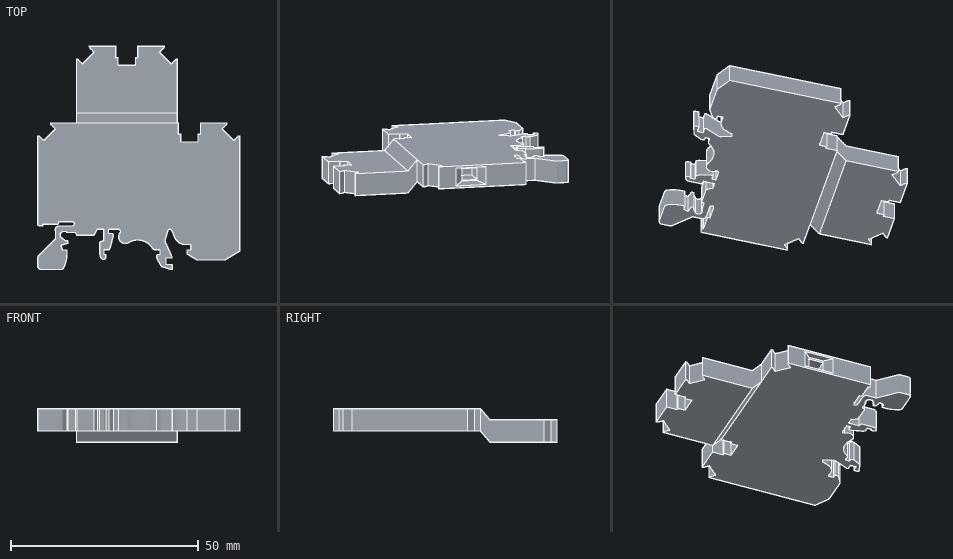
import cadquery as cq
import math

WIDTH = 54.0
HEIGHT = 59.7
THICKNESS = 6.0
TIER_STEP = 3.0
SHOULDER_Y = 39.2
RAMP_LENGTH = 2.55

TIER_LEFT = 10.3
TIER_WIDTH = 27.0
TIER_RIGHT = TIER_LEFT + TIER_WIDTH

NOTCH_SIDE = 3.45
NOTCH_LIP = 0.35
NOTCH_ROUND = 0.6
NOTCH_DEPTH = 1.25

SLOT_WIDTH = 5.85
SLOT_DEPTH = 3.05
SLOT_BOTTOM_WIDTH = 4.6
SLOT_BOTTOM_DEPTH = 5.1
MAIN_SLOT_X = 40.55

SEAT_Y = 5.25
LIP_Y = 4.05
RELIEF_Y = 10.75
HEEL_Y = 2.55
HINGE_SLOT_Y = 11.7
HINGE_SLOT_GAP = 1.1

NECK_RADIUS = 2.1 / 2
FOOT_RADIUS = 1.0
FOOT_FLANK_RADIUS = 8.95
LOBE_RADIUS = 1.75
ARCH_RADIUS = 4.65
TOE_RADIUS = 1.0
ARCH_CENTER = (26.75, 3.2)

FUNNEL_LOW_Y = 22.8
FUNNEL_HIGH_Y = 31.0
FUNNEL_MARGIN = 0.6
FUNNEL_DEPTH = 1.9
FUNNEL_TAPER = 2.0
FUNNEL_RISE = 0.85
THROAT_DEPTH = 5.95
THROAT_SILL = 0.25
THROAT_HEADER = 0.6


def on_circle(center, radius, degrees):
    """Point on a circle at an angle measured from +X."""
    angle = math.radians(degrees)
    return (center[0] + radius * math.cos(angle), center[1] + radius * math.sin(angle))


def trace(path, start, corners):
    """Draw lines from start through (x, y) corners; (x, y, radius) corners are rounded."""
    before = cq.Vector(*start)
    for index, corner in enumerate(corners):
        point = cq.Vector(*corner[:2])
        if len(corner) == 2:
            path = path.lineTo(point.x, point.y)
        else:
            after = cq.Vector(*corners[index + 1][:2])
            back = (before - point).normalized()
            ahead = (after - point).normalized()
            half_angle = back.getAngle(ahead) / 2
            radius = corner[2]
            setback = radius / math.tan(half_angle)
            to_middle = radius / math.sin(half_angle) - radius
            arc_start = point + back * setback
            arc_middle = point + (back + ahead).normalized() * to_middle
            arc_end = point + ahead * setback
            path = path.lineTo(arc_start.x, arc_start.y)
            path = path.threePointArc(arc_middle.toTuple()[:2], arc_end.toTuple()[:2])
        before = point
    return path


def trace_latch(path, start):
    """Slot above the latch, its curved neck, its foot and claw, and the hollow above the claw."""
    slot_top = HINGE_SLOT_Y + HINGE_SLOT_GAP
    slot_end = 9.25
    path = trace(path, start, [
        (0, HINGE_SLOT_Y, 0.5),
        (1.45, HINGE_SLOT_Y),
        (1.45, 12.1),
        (5.6, 12.1, 0.3),
        (5.6, slot_top),
        (slot_end, slot_top),
    ])
    slot_radius = HINGE_SLOT_GAP / 2
    path = path.threePointArc((slot_end + slot_radius, slot_top - slot_radius), (slot_end, HINGE_SLOT_Y))

    neck_x = 4.7
    neck_center = (5.75, HINGE_SLOT_Y - NECK_RADIUS)
    neck_drop = math.sqrt(NECK_RADIUS**2 - (neck_center[0] - neck_x) ** 2)
    neck_end = (neck_x, neck_center[1] - neck_drop)
    path = path.lineTo(neck_center[0], HINGE_SLOT_Y)
    path = path.threePointArc(on_circle(neck_center, NECK_RADIUS, 180), neck_end)

    flank_bottom = 3.5
    foot_right = 7.9
    path = trace(path, neck_end, [
        (neck_x, flank_bottom + neck_x),
        (0, flank_bottom, 0.7),
        (0, 0, FOOT_RADIUS),
        (6.8, 0, FOOT_RADIUS),
        (foot_right, 2.5, FOOT_FLANK_RADIUS),
        (foot_right, SEAT_Y, 0.25),
        (6.7, SEAT_Y),
        (6.25, 6.5),
        (8.05, 7.0, 0.1),
        (8.05, 7.75, 0.1),
        (7.45, 7.75),
        (6.25, 8.65),
    ])
    hollow_end = (7.15, 10.15)
    return path.threePointArc((6.2, 9.75), hollow_end), hollow_end


def trace_center_foot(path, start):
    """Underside from the latch to the small center foot, up to the relief pocket on its right."""
    return trace(path, start, [
        (7.7, 10.15),
        (7.7, 9.9),
        (10.1, 9.9),
        (10.5, 9.15),
        (15.05, 9.15),
        (15.95, RELIEF_Y),
        (17.6, RELIEF_Y),
        (17.6, 7.75),
        (16.6, 7.4, 0.25),
        (16.6, 2.9, 1.45),
        (17.9, 2.6, 0.1),
        (18.2, 3.15, 0.1),
        (18.2, LIP_Y),
        (17.8, LIP_Y),
        (17.8, SEAT_Y),
        (19.1, SEAT_Y),
        (19.45, 5.95),
        (20.4, 9.7, 0.5),
        (19.0, 9.7),
        (19.0, RELIEF_Y),
        (22.1, RELIEF_Y, 0.5),
        (22.1, 9.95),
        (21.85, 9.7),
    ])


def trace_arch(path):
    """Rounded lobe, the wide arch over the rail and the small round toe, each tangent to the next."""
    lobe_angle = 121.5
    lobe_center = on_circle(ARCH_CENTER, ARCH_RADIUS + LOBE_RADIUS, lobe_angle)
    lobe_end = on_circle(ARCH_CENTER, ARCH_RADIUS, lobe_angle)
    path = path.threePointArc(on_circle(lobe_center, LOBE_RADIUS, 225), lobe_end)

    toe_y = SEAT_Y + TOE_RADIUS
    toe_angle = math.degrees(math.asin((toe_y - ARCH_CENTER[1]) / (ARCH_RADIUS + TOE_RADIUS)))
    toe_center = on_circle(ARCH_CENTER, ARCH_RADIUS + TOE_RADIUS, toe_angle)
    toe_start = on_circle(ARCH_CENTER, ARCH_RADIUS, toe_angle)
    path = path.threePointArc(on_circle(ARCH_CENTER, ARCH_RADIUS, 75), toe_start)
    toe_end = (toe_center[0], SEAT_Y)
    path = path.threePointArc(on_circle(toe_center, TOE_RADIUS, 240), toe_end)
    return path, toe_end


def trace_right_foot(path, start):
    """Slender right foot, the gap behind it and the heel of the body."""
    gap_arc_start = (36.65, 8.5)
    gap_arc_end = (39.5, 6.7)
    path = trace(path, start, [
        (32.65, SEAT_Y),
        (32.65, LIP_Y),
        (31.75, LIP_Y, 0.5),
        (31.75, 3.15),
        (33.0, 0.85, 0.9),
        (35.65, 0),
        (36.0, 0),
        (36.0, 1.45, 0.3),
        (34.3, 1.45),
        (34.3, 3.05),
        (36.1, 3.05, 0.3),
        (34.0, 7.65, 0.6),
        (34.9, RELIEF_Y, 0.5),
        (35.7, RELIEF_Y, 0.5),
        gap_arc_start,
    ])
    path = path.threePointArc((37.75, 7.2), gap_arc_end)
    return trace(path, gap_arc_end, [
        (40.9, 6.7),
        (40.9, SEAT_Y),
        (39.9, SEAT_Y),
        (39.9, 4.2),
        (42.55, HEEL_Y),
        (50.0, HEEL_Y),
        (WIDTH, 4.95),
        (WIDTH, SHOULDER_Y),
    ])


def make_body():
    """Main body, traced counterclockwise from its upper left corner."""
    start = (0, SHOULDER_Y)
    path = cq.Workplane("XY", origin=(0, 0, TIER_STEP)).moveTo(*start)
    path, latch_end = trace_latch(path, start)
    path = trace_center_foot(path, latch_end)
    path, toe_end = trace_arch(path)
    path = trace_right_foot(path, toe_end)
    return path.close().extrude(THICKNESS)


def make_upper_tier():
    """Side profile with the ramp, extruded across the width of the tier."""
    ramp_top = SHOULDER_Y + RAMP_LENGTH
    return (
        cq.Workplane("YZ", origin=(TIER_LEFT, 0, 0))
        .polyline([
            (SHOULDER_Y, TIER_STEP),
            (ramp_top, 0),
            (HEIGHT, 0),
            (HEIGHT, THICKNESS),
            (ramp_top, THICKNESS),
            (SHOULDER_Y, TIER_STEP + THICKNESS),
        ])
        .close()
        .extrude(TIER_WIDTH)
    )


def corner_notch(corner_x, corner_y, inward, base_z):
    """Cutter for one upper corner; inward is +1 at a left corner and -1 at a right one."""
    offsets = [
        (0, NOTCH_SIDE),
        (NOTCH_LIP, NOTCH_SIDE, NOTCH_ROUND),
        (NOTCH_LIP + NOTCH_DEPTH, NOTCH_SIDE + NOTCH_DEPTH),
        (NOTCH_SIDE + NOTCH_DEPTH, NOTCH_LIP + NOTCH_DEPTH),
        (NOTCH_SIDE, NOTCH_LIP, NOTCH_ROUND),
        (NOTCH_SIDE, 0),
    ]
    corners = [
        (corner_x + inward * across, corner_y - down, *rounding)
        for across, down, *rounding in offsets
    ]
    start = (corner_x, corner_y)
    path = cq.Workplane("XY", origin=(0, 0, base_z)).moveTo(*start)
    return trace(path, start, corners).close().extrude(THICKNESS)


def stepped_slot(center_x, top_y, base_z):
    """Cutter centered on the top edge, so only its lower half removes material."""
    cutter = cq.Workplane("XY", origin=(center_x, top_y, base_z))
    upper = cutter.rect(SLOT_WIDTH, 2 * SLOT_DEPTH).extrude(THICKNESS)
    lower = cutter.rect(SLOT_BOTTOM_WIDTH, 2 * SLOT_BOTTOM_DEPTH).extrude(THICKNESS)
    return upper.union(lower)


def rectangle(low_y, high_y, low_z, high_z):
    return [(low_y, low_z), (high_y, low_z), (high_y, high_z), (low_y, high_z)]


def wire_funnel():
    """Mouth with tapered sides and a rising floor, followed by a blind rectangular throat."""
    low_z = TIER_STEP + FUNNEL_MARGIN
    high_z = TIER_STEP + THICKNESS - FUNNEL_MARGIN
    throat_low_y = FUNNEL_LOW_Y + FUNNEL_TAPER
    throat_high_y = FUNNEL_HIGH_Y - FUNNEL_TAPER
    floor_z = low_z + FUNNEL_RISE
    mouth = rectangle(FUNNEL_LOW_Y, FUNNEL_HIGH_Y, low_z, high_z)
    inner = rectangle(throat_low_y, throat_high_y, floor_z, high_z)
    funnel = (
        cq.Workplane("YZ")
        .polyline(mouth)
        .close()
        .workplane(offset=FUNNEL_DEPTH)
        .polyline(inner)
        .close()
        .loft(ruled=True)
    )
    throat_floor_z = floor_z + THROAT_SILL
    throat_height = high_z - THROAT_HEADER - throat_floor_z
    throat = (
        cq.Workplane("XY")
        .box(THROAT_DEPTH, throat_high_y - throat_low_y, throat_height, centered=False)
        .translate((FUNNEL_DEPTH, throat_low_y, throat_floor_z))
    )
    return funnel.union(throat)


body = make_body()
for edge_x, inward in ((0, 1), (WIDTH, -1)):
    body = body.cut(corner_notch(edge_x, SHOULDER_Y, inward, TIER_STEP))
body = body.cut(stepped_slot(MAIN_SLOT_X, SHOULDER_Y, TIER_STEP))
body = body.cut(wire_funnel())

tier = make_upper_tier()
for edge_x, inward in ((TIER_LEFT, 1), (TIER_RIGHT, -1)):
    tier = tier.cut(corner_notch(edge_x, HEIGHT, inward, 0))
tier = tier.cut(stepped_slot(TIER_LEFT + TIER_WIDTH / 2, HEIGHT, 0))

result = body.union(tier)